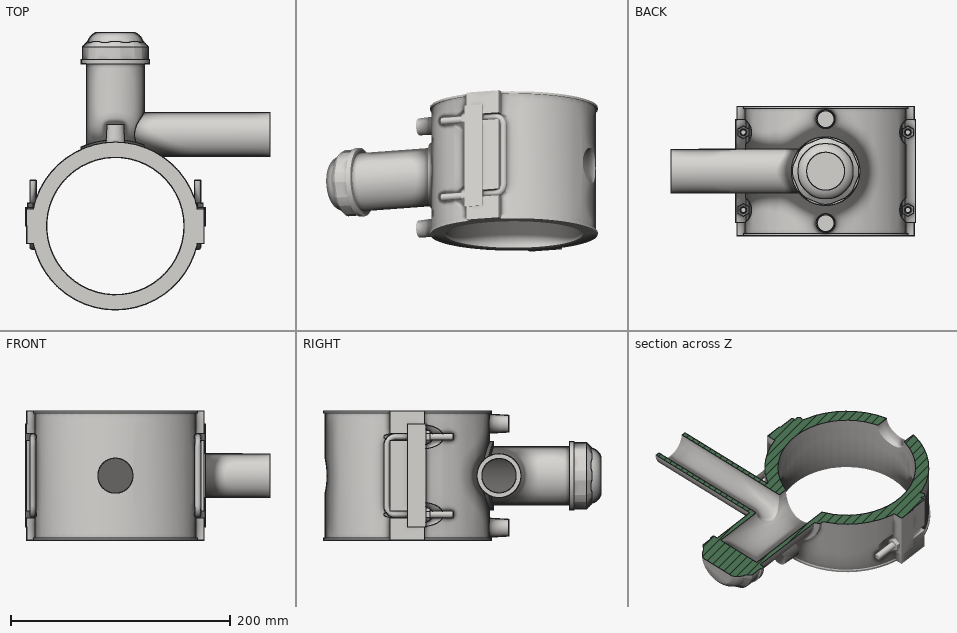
import math

import cadquery as cq


RING_HEIGHT = 118.0
BORE_RADIUS = 62.5
BODY_RADIUS = 75.0
RIM_RADIUS = 76.5
RIM_HEIGHT = 2.0
FRONT_HOLE_DIAMETER = 32.0

FLANGE_HALF_WIDTH = 81.0
REAR_FLANGE_THICKNESS = 15.5
FRONT_FLANGE_THICKNESS = 16.0
PLATE_SIDE_THICKNESS = 1.0
PLATE_TOP_THICKNESS = 1.3
PLATE_HEIGHT = 94.0
PLATE_INNER_X = 72.5
PLATE_TOP_Y = REAR_FLANGE_THICKNESS + PLATE_TOP_THICKNESS

BOLT_X = 75.0
BOLT_HALF_SPACING = 35.4
ROD_DIAMETER = 6.0
ROD_END_Y = 42.0
ROD_END_CHAMFER = 0.6
BRIDGE_Y = -18.5
BEND_RADIUS = 8.0
SLOT_WIDTH = 6.3
NUT_ACROSS_FLATS = 10.0
NUT_HEIGHT = 4.0
POCKET_X = 81.0
POCKET_RADIUS = 13.5
POCKET_FLOOR_RADIUS = 71.5

BRANCH_DIAMETER = 53.12
PAD_DIAMETER = 62.5
PAD_OUTER_RADIUS = 78.5
BRANCH_BORE = 43.75
COLLAR_DIAMETER = 62.5
COLLAR_START_Y = 147.7
COLLAR_END_Y = 152.0
GRIP_RADIUS = 30.2
GRIP_TOP_RADIUS = 24.0
GRIP_END_Y = 163.3
GRIP_SIDES = 8
RIB_HALF_ANGLE = 9.0
CAP_END_Y = 176.5
DOME_BASE_RADIUS = 25.5
DOME_BASE_Y = 167.0
DOME_MIDDLE = (23.0, 172.4)
DOME_TOP_RADIUS = 17.3

OUTLET_DIAMETER = 40.0
OUTLET_Y = 83.5
OUTLET_BORE = 31.36
OUTLET_END_X = 141.0

PEG_Z = 47.4
PEG_BASE_Y = 73.0
PEG_END_Y = 92.6
PEG_BASE_DIAMETER = 17.6
PEG_END_DIAMETER = 15.3


def block(x_range, y_range, z_range):
    """Axis-aligned box between pairs of opposite limits, given in any order."""
    limits = [sorted(pair) for pair in (x_range, y_range, z_range)]
    sizes = [high - low for low, high in limits]
    corner = tuple(low for low, high in limits)
    return cq.Workplane("XY").box(*sizes, centered=False).translate(corner)


def rod_along_y(diameter, y_start, y_end, x=0.0, z=0.0):
    """Round bar parallel to Y."""
    direction = cq.Vector(0, 1, 0)
    bar = cq.Solid.makeCylinder(diameter / 2, y_end - y_start, cq.Vector(x, y_start, z), direction)
    return cq.Workplane(obj=bar)


def drum(radius, height):
    """Disc or cylinder about Z, centred on the origin."""
    return cq.Workplane("XY").circle(radius).extrude(height / 2, both=True)


def make_ring():
    """Clamp ring with end rims and flanges; the bore is cut later."""
    ring = drum(BODY_RADIUS, RING_HEIGHT)
    half_height = RING_HEIGHT / 2
    for z in (-half_height, half_height - RIM_HEIGHT):
        rim = cq.Workplane("XY").workplane(offset=z).circle(RIM_RADIUS).extrude(RIM_HEIGHT)
        ring = ring.union(rim)
    flanges = block(
        (-FLANGE_HALF_WIDTH, FLANGE_HALF_WIDTH),
        (-FRONT_FLANGE_THICKNESS, REAR_FLANGE_THICKNESS),
        (-half_height, half_height),
    )
    return ring.union(flanges)


def make_plate(side):
    """Angle plate wrapping the outer and rear faces of a rear flange."""
    outer_x = side * (FLANGE_HALF_WIDTH + PLATE_SIDE_THICKNESS)
    z_range = (-PLATE_HEIGHT / 2, PLATE_HEIGHT / 2)
    wall = block((side * FLANGE_HALF_WIDTH, outer_x), (0, PLATE_TOP_Y), z_range)
    top = block((side * PLATE_INNER_X, outer_x), (REAR_FLANGE_THICKNESS, PLATE_TOP_Y), z_range)
    return wall.union(top)


def make_nut_pocket(side, z):
    """Shallow recess in the ring wall that clears the nut."""
    cutter = rod_along_y(2 * POCKET_RADIUS, REAR_FLANGE_THICKNESS, BODY_RADIUS, side * POCKET_X, z)
    return cutter.cut(drum(POCKET_FLOOR_RADIUS, RING_HEIGHT))


def make_bolt_slot(side, z):
    """Round-ended slot, open to the outside, through the front flange."""
    y_start = -BODY_RADIUS
    end = rod_along_y(SLOT_WIDTH, y_start, 0, side * BOLT_X, z)
    mouth = block(
        (side * BOLT_X, side * (FLANGE_HALF_WIDTH + PLATE_SIDE_THICKNESS)),
        (y_start, 0),
        (z - SLOT_WIDTH / 2, z + SLOT_WIDTH / 2),
    )
    return end.union(mouth)


def make_u_bolt(side):
    """Bent rod with its legs along Y and its bridge along Z."""
    x = side * BOLT_X
    leg_y = BRIDGE_Y + BEND_RADIUS
    bridge_z = BOLT_HALF_SPACING - BEND_RADIUS
    bend_offset = BEND_RADIUS * (1 - math.cos(math.radians(45)))
    bend_y = BRIDGE_Y + bend_offset
    bend_z = BOLT_HALF_SPACING - bend_offset
    path = (
        cq.Workplane("YZ", origin=(x, 0, 0))
        .moveTo(ROD_END_Y, BOLT_HALF_SPACING)
        .lineTo(leg_y, BOLT_HALF_SPACING)
        .threePointArc((bend_y, bend_z), (BRIDGE_Y, bridge_z))
        .lineTo(BRIDGE_Y, -bridge_z)
        .threePointArc((bend_y, -bend_z), (leg_y, -BOLT_HALF_SPACING))
        .lineTo(ROD_END_Y, -BOLT_HALF_SPACING)
    )
    section = cq.Workplane("XZ", origin=(x, ROD_END_Y, BOLT_HALF_SPACING)).circle(ROD_DIAMETER / 2)
    return section.sweep(path).faces(">Y").chamfer(ROD_END_CHAMFER)


def make_nut(side, z):
    """Hexagon nut seated on the plate, with corners pointing along Z."""
    across_corners = NUT_ACROSS_FLATS / math.cos(math.radians(30))
    nut = cq.Workplane("XY").polygon(6, across_corners).extrude(NUT_HEIGHT)
    nut = nut.rotate((0, 0, 0), (0, 0, 1), 90).rotate((0, 0, 0), (1, 0, 0), -90)
    return nut.translate((side * BOLT_X, PLATE_TOP_Y, z))


def make_pad():
    """Round saddle pad that follows the ring wall."""
    return rod_along_y(PAD_DIAMETER, BORE_RADIUS, COLLAR_START_Y).intersect(
        drum(PAD_OUTER_RADIUS, RING_HEIGHT)
    )


def make_dome():
    """Rounded top of the cap."""
    return (
        cq.Workplane("XY")
        .moveTo(0, COLLAR_END_Y)
        .lineTo(DOME_BASE_RADIUS, COLLAR_END_Y)
        .lineTo(DOME_BASE_RADIUS, DOME_BASE_Y)
        .threePointArc(DOME_MIDDLE, (DOME_TOP_RADIUS, CAP_END_Y))
        .lineTo(0, CAP_END_Y)
        .close()
        .revolve(360, (0, 0, 0), (0, 1, 0))
    )


def make_grip():
    """Octagonal grip with a 45 degree chamfer, its corners rounded into ribs."""
    chamfer_size = GRIP_RADIUS - GRIP_TOP_RADIUS
    end_y = GRIP_END_Y + chamfer_size
    turned = (
        cq.Workplane("XY")
        .polyline(
            [
                (0, COLLAR_END_Y),
                (GRIP_RADIUS, COLLAR_END_Y),
                (GRIP_RADIUS, GRIP_END_Y),
                (GRIP_TOP_RADIUS, end_y),
                (0, end_y),
            ]
        )
        .close()
        .revolve(360, (0, 0, 0), (0, 1, 0))
    )
    half_side_angle = 180 / GRIP_SIDES
    apothem = GRIP_RADIUS * math.cos(math.radians(half_side_angle - RIB_HALF_ANGLE))
    corner_diameter = 2 * apothem / math.cos(math.radians(half_side_angle))
    octagon = (
        cq.Workplane("XZ", origin=(0, end_y, 0))
        .polygon(GRIP_SIDES, corner_diameter)
        .extrude(end_y - COLLAR_END_Y)
        .faces(">Y")
        .chamfer(chamfer_size)
    )
    return turned.intersect(octagon)


def make_peg(z):
    """Tapered solid peg pointing along +Y."""
    peg = cq.Solid.makeCone(
        PEG_BASE_DIAMETER / 2,
        PEG_END_DIAMETER / 2,
        PEG_END_Y - PEG_BASE_Y,
        cq.Vector(0, PEG_BASE_Y, z),
        cq.Vector(0, 1, 0),
    )
    return cq.Workplane(obj=peg)


def outlet_bar(diameter):
    """Round bar on the outlet axis, from the branch axis to the outlet end."""
    return cq.Workplane("YZ").center(OUTLET_Y, 0).circle(diameter / 2).extrude(OUTLET_END_X)


def build():
    """Join all the pieces, cutting the bores once the outer walls are complete."""
    part = make_ring()
    for side in (-1, 1):
        for z in (-BOLT_HALF_SPACING, BOLT_HALF_SPACING):
            part = part.cut(make_nut_pocket(side, z))
            part = part.cut(make_bolt_slot(side, z))
            part = part.union(make_nut(side, z))
        part = part.union(make_plate(side))
        part = part.union(make_u_bolt(side))

    part = part.union(make_pad())
    part = part.union(rod_along_y(BRANCH_DIAMETER, BORE_RADIUS, COLLAR_START_Y))
    part = part.union(outlet_bar(OUTLET_DIAMETER))
    for z in (-PEG_Z, PEG_Z):
        part = part.union(make_peg(z))

    part = part.cut(drum(BORE_RADIUS, RING_HEIGHT))
    part = part.cut(rod_along_y(FRONT_HOLE_DIAMETER, -RIM_RADIUS, 0))
    part = part.cut(rod_along_y(BRANCH_BORE, 0, COLLAR_START_Y))
    part = part.cut(outlet_bar(OUTLET_BORE))

    part = part.union(rod_along_y(COLLAR_DIAMETER, COLLAR_START_Y, COLLAR_END_Y))
    part = part.union(make_grip())
    return part.union(make_dome())


result = build()